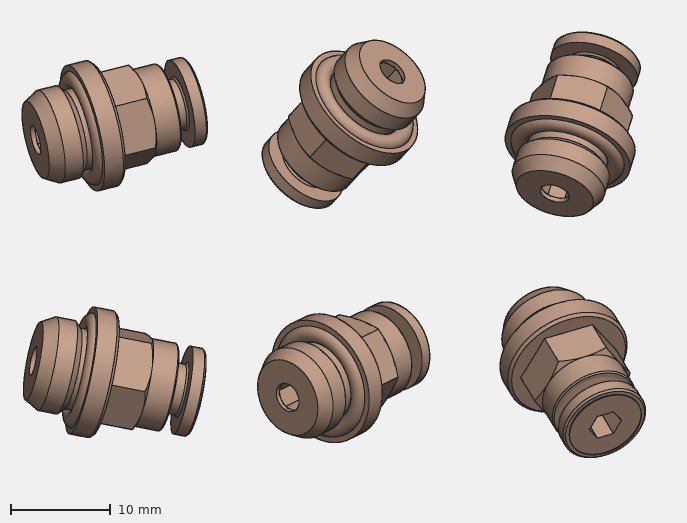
import cadquery as cq
import math


TIP_RADIUS = 4.0
THREAD_RADIUS = 4.8
NECK_RADIUS = 4.15
TIP_TAPER_END = 1.42
THREAD_END = 3.35
RELIEF_START = THREAD_END + THREAD_RADIUS - NECK_RADIUS

FLANGE_DIAMETER = 13.0
FLANGE_START = 5.0
FLANGE_END = 7.32
FLANGE_CHAMFER = 0.3
SEAL_OUTER_RADIUS = 5.92
SEAL_FRONT = 4.33

BODY_DIAMETER = 9.0
HEX_END = 11.3
HEX_CHAMFER_ANGLE = 30
SLEEVE_END = 13.98
SLEEVE_CHAMFER = 0.15
SLEEVE_CONE_RADIUS = 3.84
SLEEVE_CONE_END = 14.21

COLLET_NECK_DIAMETER = 5.2
COLLET_HEAD_START = 15.4
COLLET_HEAD_END = 16.8
COLLET_CHAMFER = 0.2
FACE_PAD_RADIUS = 3.9
TOTAL_LENGTH = 16.9

BORE_DIAMETER = 3.0
BORE_MOUTH_DEPTH = 0.5


def turned(points):
    """Revolve an outline of (radius, Y) points about the Y axis."""
    return cq.Workplane("XY").polyline(points).close().revolve(360, (0, 0, 0), (0, 1, 0))


def hexagon(across_flats, start, end):
    """Hexagonal bar along Y with flats facing up and down and corners at +X and -X."""
    across_corners = across_flats / math.cos(math.radians(30))
    return (
        cq.Workplane("XZ", origin=(0, start, 0))
        .polygon(6, across_corners)
        .extrude(start - end)
    )


def threaded_end():
    return turned([
        (0, 0),
        (TIP_RADIUS, 0),
        (THREAD_RADIUS, TIP_TAPER_END),
        (THREAD_RADIUS, THREAD_END),
        (NECK_RADIUS, RELIEF_START),
        (NECK_RADIUS, FLANGE_START),
        (0, FLANGE_START),
    ])


def flange():
    radius = FLANGE_DIAMETER / 2
    return turned([
        (0, FLANGE_START),
        (radius, FLANGE_START),
        (radius, FLANGE_END - FLANGE_CHAMFER),
        (radius - FLANGE_CHAMFER, FLANGE_END),
        (0, FLANGE_END),
    ])


def sealing_ring():
    """O-ring that fits round the neck and is partly sunk in the flange."""
    section_radius = (SEAL_OUTER_RADIUS - NECK_RADIUS) / 2
    ring_radius = NECK_RADIUS + section_radius
    return (
        cq.Workplane("XY")
        .center(ring_radius, SEAL_FRONT + section_radius)
        .circle(section_radius)
        .revolve(360, (-ring_radius, 0, 0), (-ring_radius, 1, 0))
    )


def wrench_hexagon():
    """Hexagon whose corners are turned down by a cone at the sleeve end."""
    sleeve_radius = BODY_DIAMETER / 2
    outer_radius = FLANGE_DIAMETER / 2
    cone_drop = (outer_radius - sleeve_radius) * math.tan(math.radians(HEX_CHAMFER_ANGLE))
    envelope = turned([
        (0, FLANGE_END),
        (outer_radius, FLANGE_END),
        (outer_radius, HEX_END - cone_drop),
        (sleeve_radius, HEX_END),
        (0, HEX_END),
    ])
    return hexagon(BODY_DIAMETER, FLANGE_END, HEX_END).intersect(envelope)


def sleeve_and_collet():
    radius = BODY_DIAMETER / 2
    neck_radius = COLLET_NECK_DIAMETER / 2
    return turned([
        (0, HEX_END),
        (radius, HEX_END),
        (radius, SLEEVE_END - SLEEVE_CHAMFER),
        (radius - SLEEVE_CHAMFER, SLEEVE_END),
        (SLEEVE_CONE_RADIUS, SLEEVE_END),
        (neck_radius, SLEEVE_CONE_END),
        (neck_radius, COLLET_HEAD_START - COLLET_CHAMFER),
        (neck_radius + COLLET_CHAMFER, COLLET_HEAD_START),
        (radius, COLLET_HEAD_START),
        (radius, COLLET_HEAD_END - COLLET_CHAMFER),
        (radius - COLLET_CHAMFER, COLLET_HEAD_END),
        (FACE_PAD_RADIUS, COLLET_HEAD_END),
        (FACE_PAD_RADIUS, TOTAL_LENGTH),
        (0, TOTAL_LENGTH),
    ])


def bore():
    mouth = cq.Workplane("XZ").circle(BORE_DIAMETER / 2).extrude(-BORE_MOUTH_DEPTH)
    return mouth.union(hexagon(BORE_DIAMETER, BORE_MOUTH_DEPTH, TOTAL_LENGTH))


result = (
    threaded_end()
    .union(flange())
    .union(sealing_ring())
    .union(wrench_hexagon())
    .union(sleeve_and_collet())
    .cut(bore())
)